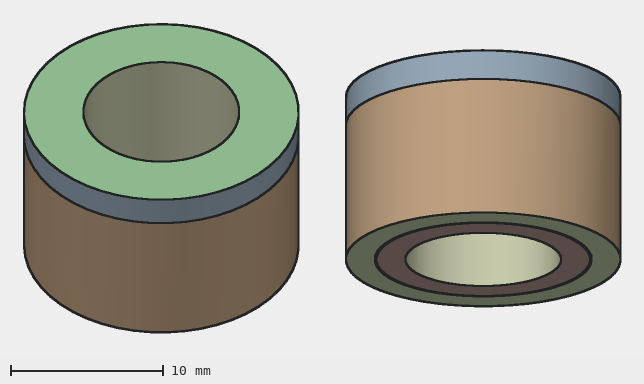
import cadquery as cq

outer_diameter = 18.0
total_height = 11.3
flange_height = 2.0
bore_diameter = 10.2
sleeve_diameter = 14.0
ring_bore_diameter = 14.2

ring_height = total_height - flange_height


def make_tube(outside, inside, height, base_z=0.0):
    """Upright tube centred on the Z axis, standing on base_z."""
    return (
        cq.Workplane("XY")
        .workplane(offset=base_z)
        .circle(outside / 2)
        .circle(inside / 2)
        .extrude(height)
    )


def make_flanged_bush():
    """Full-height sleeve with a wide flange at its top."""
    sleeve = make_tube(sleeve_diameter, bore_diameter, total_height)
    flange = make_tube(outer_diameter, bore_diameter, flange_height, ring_height)
    return sleeve.union(flange)


def make_outer_ring():
    """Ring around the sleeve that carries the flange."""
    return make_tube(outer_diameter, ring_bore_diameter, ring_height)


flanged_bush = make_flanged_bush()
outer_ring = make_outer_ring()

result = cq.Compound.makeCompound([flanged_bush.val(), outer_ring.val()])